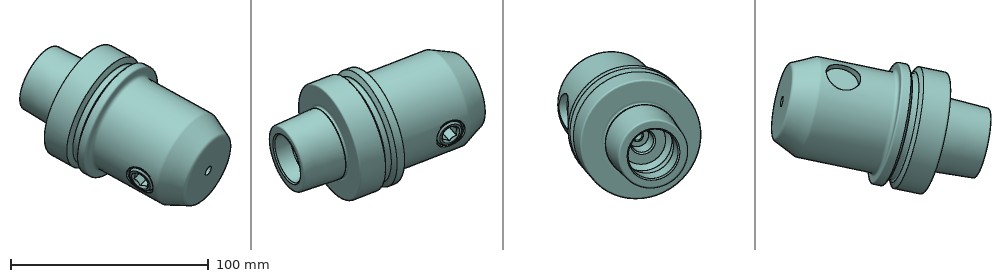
import cadquery as cq
import math

LENGTH = 105.0

TAPER_END_X = 22.8
TAPER_TIP_RADIUS = 18.1
TAPER_BIG_RADIUS = 19.1
SHANK_TIP_FILLET = 0.9
SHANK_BAND_END_X = 23.3
NECK_START_X = 23.7
NECK_RADIUS = 18.7
NECK_FILLET = 0.8
FACE_RELIEF_RADIUS = 20.5
FACE_RELIEF_DEPTH = 0.2

FLANGE_RADIUS = 31.5
FLANGE_START_X = 25.0
FLANGE_WIDTH = 26.0
FLANGE_END_X = FLANGE_START_X + FLANGE_WIDTH
FLANGE_FILLET = 0.9
GROOVE_CENTER_X = 42.8
GROOVE_TOP_WIDTH = 6.7
GROOVE_WALL_ANGLE = 30.0
GROOVE_SLOT_WIDTH = 3.4
GROOVE_FLOOR_RADIUS = 27.5
GROOVE_FLOOR_FILLET = 0.3

NOSE_RADIUS = 26.0
NOSE_ROOT_FILLET = 1.9
CONE_START_X = 92.0
CONE_ANGLE = 25.0
CONE_EDGE_FILLET = 2.5
TIP_FILLET = 2.0

BORE_RADIUS = 13.0
BORE_CHAMFER = 0.7
BORE_LIP_DEPTH = 10.0
UNDERCUT_RADIUS = 14.5
BORE_FLOOR_X = 21.3
BORE_FLOOR_RADIUS = 11.9
COUNTERBORE_RADIUS = 6.6
COUNTERBORE_FLOOR_RADIUS = 5.8
COUNTERBORE_DEPTH = 10.5
CENTER_HOLE_RADIUS = 2.5
CENTER_HOLE_CHAMFER = 0.5

SCREW_X = 81.0
SCREW_RADIUS = 7.5
SCREW_CHAMFER = 1.0
SCREW_FACE_Y = -25.7
SCREW_TIP_Y = -10.0
SCREW_LENGTH = SCREW_TIP_Y - SCREW_FACE_Y
SCREW_HOLE_MOUTH_RADIUS = 8.3
SOCKET_FLAT_WIDTH = 8.0
SOCKET_MOUTH_RADIUS = 5.2
SOCKET_DEPTH = 8.4
SOCKET_TURN = 5.0

BALANCE_HOLE_X = 80.0
BALANCE_HOLE_RADIUS = 9.0
BALANCE_HOLE_DEPTH = 4.2


def revolve_about_x(profile):
    """Turn a closed (X, radius) profile around the X axis."""
    return profile.close().revolve(360, (0, 0, 0), (1, 0, 0))


def along_y(x, y):
    """Workplane at (x, y, 0) whose normal points to +Y."""
    return cq.Workplane(cq.Plane(origin=(x, y, 0), xDir=(1, 0, 0), normal=(0, 1, 0)))


def rounded(profile, corner, before, after, radius):
    """Draw a line to a corner that lies between two points, and round it with a tangent arc."""
    corner = cq.Vector(*corner)
    back = (cq.Vector(*before) - corner).normalized()
    ahead = (cq.Vector(*after) - corner).normalized()
    half_angle = back.getAngle(ahead) / 2
    setback = radius / math.tan(half_angle)
    bisector = (back + ahead).normalized()
    arc_start = corner + back * setback
    arc_middle = corner + bisector * (radius / math.sin(half_angle) - radius)
    arc_end = corner + ahead * setback
    profile = profile.lineTo(arc_start.x, arc_start.y)
    return profile.threePointArc((arc_middle.x, arc_middle.y), (arc_end.x, arc_end.y))


def make_turned_blank():
    """Outer shape of the holder, from the shank tip to the nose."""
    groove_top_half = GROOVE_TOP_WIDTH / 2
    groove_slot_half = GROOVE_SLOT_WIDTH / 2
    groove_wall_depth = (groove_top_half - groove_slot_half) / math.tan(math.radians(GROOVE_WALL_ANGLE))
    groove_slot_radius = FLANGE_RADIUS - groove_wall_depth
    cone_length = LENGTH - CONE_START_X
    cone_end_radius = NOSE_RADIUS - cone_length * math.tan(math.radians(CONE_ANGLE))
    corners = [
        (0, 0, 0),
        (0, TAPER_TIP_RADIUS, SHANK_TIP_FILLET),
        (TAPER_END_X, TAPER_BIG_RADIUS, 0),
        (SHANK_BAND_END_X, TAPER_BIG_RADIUS, 0),
        (NECK_START_X, NECK_RADIUS, 0),
        (FLANGE_START_X + FACE_RELIEF_DEPTH, NECK_RADIUS, NECK_FILLET),
        (FLANGE_START_X, FACE_RELIEF_RADIUS, 0),
        (FLANGE_START_X, FLANGE_RADIUS, FLANGE_FILLET),
        (GROOVE_CENTER_X - groove_top_half, FLANGE_RADIUS, 0),
        (GROOVE_CENTER_X - groove_slot_half, groove_slot_radius, 0),
        (GROOVE_CENTER_X - groove_slot_half, GROOVE_FLOOR_RADIUS, GROOVE_FLOOR_FILLET),
        (GROOVE_CENTER_X + groove_slot_half, GROOVE_FLOOR_RADIUS, GROOVE_FLOOR_FILLET),
        (GROOVE_CENTER_X + groove_slot_half, groove_slot_radius, 0),
        (GROOVE_CENTER_X + groove_top_half, FLANGE_RADIUS, 0),
        (FLANGE_END_X, FLANGE_RADIUS, FLANGE_FILLET),
        (FLANGE_END_X, NOSE_RADIUS, NOSE_ROOT_FILLET),
        (CONE_START_X, NOSE_RADIUS, CONE_EDGE_FILLET),
        (LENGTH, cone_end_radius, TIP_FILLET),
        (LENGTH, 0, 0),
    ]
    profile = cq.Workplane("XY").moveTo(0, 0)
    for i in range(1, len(corners)):
        x, radius, rounding = corners[i]
        if rounding > 0:
            profile = rounded(profile, (x, radius), corners[i - 1][:2], corners[i + 1][:2], rounding)
        else:
            profile = profile.lineTo(x, radius)
    return revolve_about_x(profile)


def make_axial_bore():
    """Space inside the shank: lipped bore, counterbore and a hole right through."""
    undercut_end_x = BORE_FLOOR_X - (UNDERCUT_RADIUS - BORE_FLOOR_RADIUS)
    counterbore_x = BORE_FLOOR_X + COUNTERBORE_DEPTH
    counterbore_cone = COUNTERBORE_RADIUS - COUNTERBORE_FLOOR_RADIUS
    profile = (
        cq.Workplane("XY")
        .moveTo(0, 0)
        .lineTo(0, BORE_RADIUS + BORE_CHAMFER)
        .lineTo(BORE_CHAMFER, BORE_RADIUS)
        .lineTo(BORE_LIP_DEPTH, BORE_RADIUS)
        .lineTo(BORE_LIP_DEPTH, UNDERCUT_RADIUS)
        .lineTo(undercut_end_x, UNDERCUT_RADIUS)
        .lineTo(BORE_FLOOR_X, BORE_FLOOR_RADIUS)
        .lineTo(BORE_FLOOR_X, COUNTERBORE_RADIUS)
        .lineTo(BORE_FLOOR_X + counterbore_cone, COUNTERBORE_FLOOR_RADIUS)
        .lineTo(counterbore_x, COUNTERBORE_FLOOR_RADIUS)
        .lineTo(counterbore_x, CENTER_HOLE_RADIUS + CENTER_HOLE_CHAMFER)
        .lineTo(counterbore_x + CENTER_HOLE_CHAMFER, CENTER_HOLE_RADIUS)
        .lineTo(LENGTH, CENTER_HOLE_RADIUS)
        .lineTo(LENGTH, 0)
    )
    return revolve_about_x(profile)


def make_screw_hole():
    """Hole for the clamping screw, with a countersunk mouth."""
    countersink = SCREW_HOLE_MOUTH_RADIUS - SCREW_RADIUS
    mouth_y = -math.sqrt(NOSE_RADIUS**2 - SCREW_HOLE_MOUTH_RADIUS**2)
    mouth_length = NOSE_RADIUS + mouth_y
    hole = along_y(SCREW_X, -NOSE_RADIUS).circle(SCREW_RADIUS).extrude(NOSE_RADIUS + SCREW_TIP_Y)
    mouth = along_y(SCREW_X, -NOSE_RADIUS).circle(SCREW_HOLE_MOUTH_RADIUS).extrude(mouth_length)
    cone = cq.Solid.makeCone(
        SCREW_HOLE_MOUTH_RADIUS, SCREW_RADIUS, countersink, (SCREW_X, mouth_y, 0), (0, 1, 0)
    )
    return hole.union(mouth).union(cq.Workplane(cone))


def make_balance_hole():
    """Flat-bottomed blind hole opposite the clamping screw."""
    floor_y = NOSE_RADIUS - BALANCE_HOLE_DEPTH
    return along_y(BALANCE_HOLE_X, floor_y).circle(BALANCE_HOLE_RADIUS).extrude(BALANCE_HOLE_DEPTH)


def make_holder():
    holder = make_turned_blank()
    holder = holder.cut(make_axial_bore())
    holder = holder.cut(make_screw_hole())
    return holder.cut(make_balance_hole())


def make_clamping_screw():
    """Headless screw with a chamfered end and a hexagon socket."""
    screw = along_y(SCREW_X, SCREW_FACE_Y).circle(SCREW_RADIUS).extrude(SCREW_LENGTH)
    screw = screw.faces("<Y").chamfer(SCREW_CHAMFER)
    corner_diameter = SOCKET_FLAT_WIDTH / math.cos(math.radians(30))
    hexagon = (
        along_y(SCREW_X, SCREW_FACE_Y)
        .transformed(rotate=(0, 0, 90 + SOCKET_TURN))
        .polygon(6, corner_diameter)
        .extrude(SOCKET_DEPTH)
    )
    mouth = cq.Workplane(
        cq.Solid.makeCone(
            SOCKET_MOUTH_RADIUS, 0, SOCKET_MOUTH_RADIUS, (SCREW_X, SCREW_FACE_Y, 0), (0, 1, 0)
        )
    )
    return screw.cut(hexagon).cut(mouth)


holder = make_holder()
clamping_screw = make_clamping_screw()
result = cq.Compound.makeCompound([holder.val(), clamping_screw.val()])